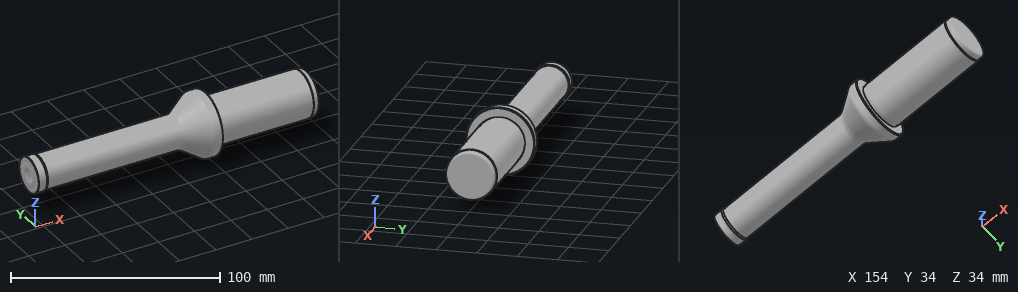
import cadquery as cq

TOTAL_LENGTH = 154.0

TIP_LENGTH = 5.9
TIP_RADIUS = 9.4
WAIST_DEPTH = 0.08
RIM_START = 0.6
WAIST_TAPER_START = 2.2
WAIST_START = 3.1
WAIST_END = 3.5
REAR_BAND_START = 4.5
REAR_BAND_END = 5.0

CENTRE_FLAT_RADIUS = 1.1
RING_PITCH = 0.74
RING_DEPTHS = [0.59, 0.54, 0.37, 0.14, 0, 0.02, 0.05, 0.18, 0.22, 0.2, 0.2, 0.38]

STEM_RADIUS = 18.0 / 2
FLANGE_RADIUS = 34.0 / 2
CONE_START = 81.0
CONE_END = 93.0
CONE_ROOT_FILLET = 4.6
CONE_RIM_FILLET = 3.1
FLANGE_END = 98.1
FLANGE_CHAMFER = 0.5

HANDLE_RADIUS = 25.0 / 2
NECK_RADIUS = 24.5 / 2
NECK_END = 98.9
HANDLE_START = 100.0
HANDLE_END = 150.5
END_BAND_START = 150.9
END_FILLET = 1.2


def revolve_about_x(points):
    """Turn a closed (x, radius) outline about the X axis."""
    return cq.Workplane("XY").polyline(points).close().revolve(360, (0, 0, 0), (1, 0, 0))


def fillet_circle(body, x, radius, fillet_radius):
    """Round the circular edge at the given x and radius."""
    margin = 0.2
    corner = cq.selectors.BoxSelector(
        (x - margin, -radius - margin, -radius - margin),
        (x + margin, radius + margin, radius + margin),
        boundingbox=True,
    )
    return body.edges(corner).fillet(fillet_radius)


def make_tip():
    """Short disc with shallow concentric rings on its front face."""
    ring_edges = [
        (depth, CENTRE_FLAT_RADIUS + index * RING_PITCH)
        for index, depth in enumerate(RING_DEPTHS)
    ]
    return revolve_about_x([
        (TIP_LENGTH, 0),
        (RING_DEPTHS[0], 0),
        *ring_edges,
        (RIM_START, TIP_RADIUS),
        (WAIST_TAPER_START, TIP_RADIUS),
        (WAIST_START, TIP_RADIUS - WAIST_DEPTH),
        (WAIST_END, TIP_RADIUS - WAIST_DEPTH),
        (REAR_BAND_START, TIP_RADIUS),
        (REAR_BAND_END, TIP_RADIUS),
        (TIP_LENGTH, STEM_RADIUS),
    ])


def make_holder():
    """Stem, conical flange and handle in one piece, butted against the tip."""
    holder = revolve_about_x([
        (TIP_LENGTH, 0),
        (TIP_LENGTH, STEM_RADIUS),
        (CONE_START, STEM_RADIUS),
        (CONE_END, FLANGE_RADIUS),
        (FLANGE_END - FLANGE_CHAMFER, FLANGE_RADIUS),
        (FLANGE_END, FLANGE_RADIUS - FLANGE_CHAMFER),
        (FLANGE_END, NECK_RADIUS),
        (NECK_END, NECK_RADIUS),
        (HANDLE_START, HANDLE_RADIUS),
        (HANDLE_END, HANDLE_RADIUS),
        (END_BAND_START, NECK_RADIUS),
        (TOTAL_LENGTH, NECK_RADIUS),
        (TOTAL_LENGTH, 0),
    ])
    holder = fillet_circle(holder, CONE_START, STEM_RADIUS, CONE_ROOT_FILLET)
    holder = fillet_circle(holder, CONE_END, FLANGE_RADIUS, CONE_RIM_FILLET)
    return fillet_circle(holder, TOTAL_LENGTH, NECK_RADIUS, END_FILLET)


tip = make_tip()
holder = make_holder()
result = cq.Compound.makeCompound([tip.val(), holder.val()])